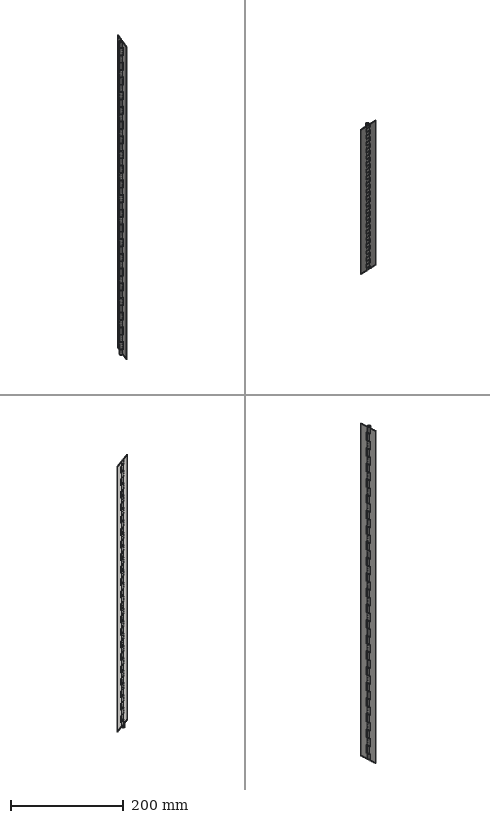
import cadquery as cq
import math

hinge_length = 850.0
hinge_width = 32.0
knuckle_diameter = 6.5

sheet_thickness = 1.5
knuckle_length = 20.0
end_knuckle_length = 15.0
notch_half_width = 4.0

knuckle_radius = knuckle_diameter / 2
pin_diameter = knuckle_diameter - 2 * sheet_thickness
leaf_edge = hinge_width / 2
back_face = knuckle_radius
front_face = back_face - sheet_thickness
roll_end = math.sqrt(knuckle_radius**2 - front_face**2)

full_knuckles = round((hinge_length - 2 * end_knuckle_length) / knuckle_length)
inner_joints = [end_knuckle_length + i * knuckle_length for i in range(full_knuckles + 1)]
joints = [0.0, *inner_joints, hinge_length]
knuckle_spans = list(zip(joints, joints[1:]))


def make_rod():
    """Round rod that fills the bore of the knuckles over the whole length."""
    return cq.Workplane("XY").circle(pin_diameter / 2).extrude(hinge_length)


def make_notches(spans):
    """Clearance blocks around the knuckles of the opposite leaf."""
    blocks = []
    for bottom, top in spans:
        block = (
            cq.Workplane("XY", origin=(0, 0, bottom))
            .rect(2 * notch_half_width, 2 * knuckle_diameter)
            .extrude(top - bottom)
        )
        blocks.append(block.val())
    return cq.Workplane(cq.Compound.makeCompound(blocks))


def make_leaf(side, first_notch):
    """Leaf on one side (+1 for +X, -1 for -X), notched at every second knuckle."""
    rolled_sheet = (
        cq.Workplane("XY")
        .moveTo(0, back_face)
        .lineTo(side * leaf_edge, back_face)
        .lineTo(side * leaf_edge, front_face)
        .lineTo(side * roll_end, front_face)
        .threePointArc((-side * knuckle_radius, 0), (0, back_face))
        .close()
        .extrude(hinge_length)
    )
    return rolled_sheet.cut(make_rod()).cut(make_notches(knuckle_spans[first_notch::2]))


right_leaf = make_leaf(side=1, first_notch=1)
left_leaf = make_leaf(side=-1, first_notch=0)
pin = make_rod()

result = cq.Compound.makeCompound([right_leaf.val(), left_leaf.val(), pin.val()])